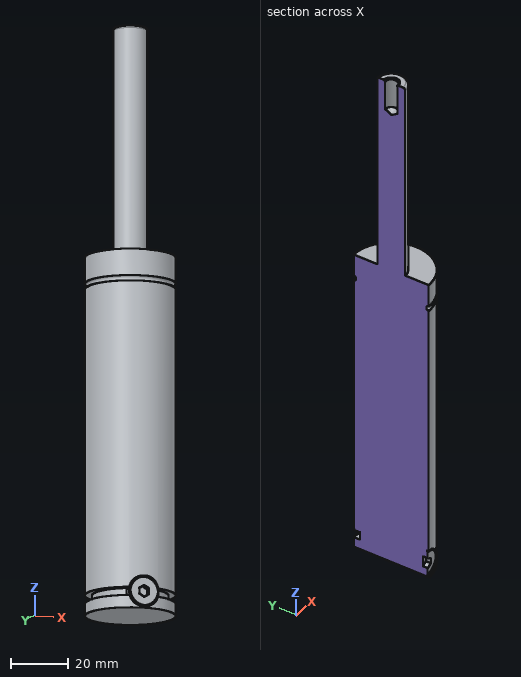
import cadquery as cq
import math

total_height = 210.0
body_diameter = 32.0
body_radius = body_diameter / 2
body_height = 128.0

base_groove_bottom = 4.5
base_groove_top = 7.4
base_groove_diameter = 26.9

collar_height = 9.5
collar_groove_width = 1.9
collar_bottom = body_height - collar_height

rod_diameter = 12.0
rod_tip_diameter = 10.0
rod_tip_rounding = (rod_diameter - rod_tip_diameter) / 2
rod_hole_diameter = 5.0
rod_hole_mouth_diameter = 6.0
rod_hole_depth = 12.5
drill_point_angle = 118.0

plug_diameter = 11.0
plug_face_diameter = 10.0
plug_chamfer = (plug_diameter - plug_face_diameter) / 2
plug_height = 6.0
plug_face_inset = 0.5
plug_length = 6.3
socket_across_flats = 3.5
socket_depth = 2.0


def make_body():
    groove_width = base_groove_top - base_groove_bottom
    base_groove = (
        cq.Workplane("XY", origin=(0, 0, base_groove_bottom))
        .circle(body_radius)
        .circle(base_groove_diameter / 2)
        .extrude(groove_width)
    )
    collar_groove = (
        cq.Workplane("XZ")
        .moveTo(body_radius, collar_bottom - collar_groove_width / 2)
        .circle(collar_groove_width / 2)
        .revolve(360, (0, 0, 0), (0, 1, 0))
    )
    body = cq.Workplane("XY").circle(body_radius).extrude(body_height)
    return body.cut(base_groove).cut(collar_groove)


def make_rod():
    return (
        cq.Workplane("XY", origin=(0, 0, body_height))
        .circle(rod_diameter / 2)
        .extrude(total_height - body_height)
        .faces(">Z")
        .fillet(rod_tip_rounding)
    )


def make_rod_hole():
    """Blind hole with a chamfered mouth and a conical drill point."""
    radius = rod_hole_diameter / 2
    mouth_radius = rod_hole_mouth_diameter / 2
    floor = total_height - rod_hole_depth
    point_depth = radius / math.tan(math.radians(drill_point_angle / 2))
    return (
        cq.Workplane("XZ")
        .moveTo(0, total_height)
        .lineTo(mouth_radius, total_height)
        .lineTo(radius, total_height - (mouth_radius - radius))
        .lineTo(radius, floor)
        .lineTo(0, floor - point_depth)
        .close()
        .revolve(360, (0, 0, 0), (0, 1, 0))
    )


def side_cylinder(diameter, outer_y, length):
    """Cylinder on the plug axis, running inward (+Y) from outer_y."""
    return (
        cq.Workplane("XZ", origin=(0, outer_y, plug_height))
        .circle(diameter / 2)
        .extrude(-length)
    )


def add_plug(body):
    plug_face = plug_face_inset - body_radius
    seat = side_cylinder(plug_diameter, -body_radius, plug_face_inset + plug_length)
    plug = side_cylinder(plug_diameter, plug_face, plug_length).faces("<Y").chamfer(plug_chamfer)
    socket = (
        cq.Workplane("XZ", origin=(0, plug_face, plug_height))
        .transformed(rotate=(0, 0, 90))
        .polygon(6, socket_across_flats / math.cos(math.pi / 6))
        .extrude(-socket_depth)
    )
    return body.cut(seat).union(plug).cut(socket)


result = add_plug(make_body()).union(make_rod()).cut(make_rod_hole())